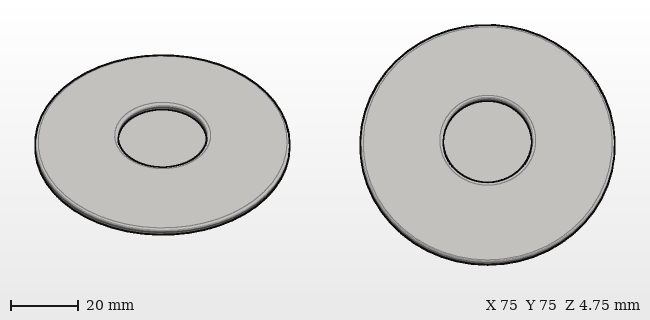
import cadquery as cq
import math

disc_diameter = 75.0
total_height = 4.75
recess_diameter = 26.0
recess_depth = 2.0
edge_radius = 1.0
sharp_edge_height = 2.0

disc_radius = disc_diameter / 2
recess_radius = recess_diameter / 2
floor_height = total_height - recess_depth

rim_center_r = recess_radius + edge_radius
rim_center_z = total_height - edge_radius

run = disc_radius - rim_center_r
rise = rim_center_z - sharp_edge_height
cone_angle = math.atan2(rise, run) + math.asin(edge_radius / math.hypot(run, rise))

outer_center_r = disc_radius - edge_radius
outer_center_z = sharp_edge_height + edge_radius * (math.tan(cone_angle) - 1 / math.cos(cone_angle))


def point_on_arc(center_r, center_z, angle):
    """Point of an edge rounding, with the angle measured from the radial direction."""
    return (center_r + edge_radius * math.cos(angle), center_z + edge_radius * math.sin(angle))


def make_disc():
    """Revolve the half section of the disc about the Z axis."""
    cone_normal = math.pi / 2 - cone_angle
    outer_mid = point_on_arc(outer_center_r, outer_center_z, cone_normal / 2)
    outer_end = point_on_arc(outer_center_r, outer_center_z, cone_normal)
    rim_start = point_on_arc(rim_center_r, rim_center_z, cone_normal)
    rim_mid = point_on_arc(rim_center_r, rim_center_z, (cone_normal + math.pi) / 2)
    rim_end = point_on_arc(rim_center_r, rim_center_z, math.pi)
    section = (
        cq.Workplane("XZ")
        .moveTo(0, 0)
        .lineTo(disc_radius, 0)
        .lineTo(disc_radius, outer_center_z)
        .threePointArc(outer_mid, outer_end)
        .lineTo(*rim_start)
        .threePointArc(rim_mid, rim_end)
        .lineTo(recess_radius, floor_height)
        .lineTo(0, floor_height)
        .close()
    )
    return section.revolve(360, (0, 0, 0), (0, 1, 0))


result = make_disc()